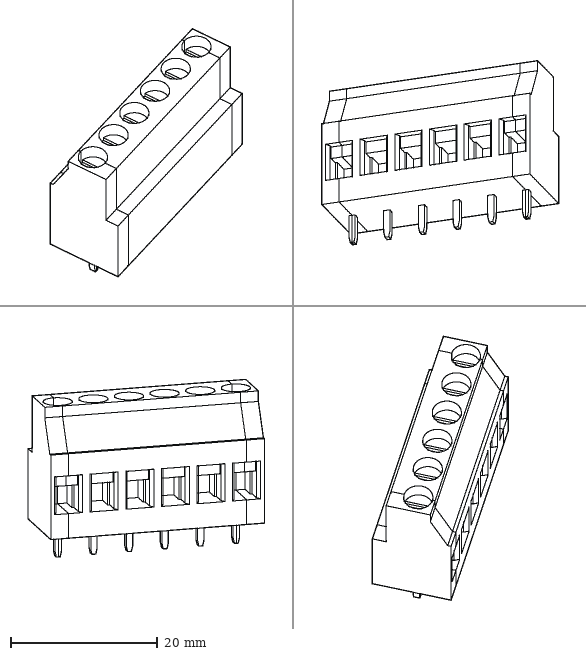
import cadquery as cq


positions = 6
row_length = 30.48
pitch = row_length / positions
terminal_centres = [(i - (positions - 1) / 2) * pitch for i in range(positions)]
joint_y = terminal_centres[-1]

housing_depth = 11.2
housing_height = 18.0
front_height = 12.0
front_ledge = 0.5
slope_top_x = 2.95
top_face_height = 1.5
rear_step_depth = 1.98
rear_step_height = 10.0

screw_x = 5.33
screw_diameter = 4.0
screw_recess = 2.0
slot_width = 0.8
slot_depth = 0.5

entry_bottom = 3.5
entry_top = 8.87
mouth_width = 4.0
mouth_depth = 0.7
passage_width = 3.2
lip_x = 1.2
lip_bottom = 7.15
clamp_x = 2.8
clamp_width = 2.62
clamp_end_x = screw_x

pin_x = 5.5
pin_thickness = 0.9
pin_width = 0.9
pin_length = 4.0
pin_tip_width = 0.55
pin_tip_length = 0.8


def housing_blank():
    """Stepped profile with a sloping front, extruded along the whole row."""
    step_x = housing_depth - rear_step_depth
    profile = [
        (0, 0),
        (housing_depth, 0),
        (housing_depth, rear_step_height),
        (step_x, rear_step_height),
        (step_x, housing_height),
        (slope_top_x, housing_height),
        (slope_top_x, housing_height - top_face_height),
        (front_ledge, front_height),
        (0, front_height),
    ]
    return cq.Workplane("XZ").polyline(profile).close().extrude(row_length / 2, both=True)


def screw_well(y):
    """Round well down to the screw head, plus the slot across the head."""
    head_z = housing_height - screw_recess
    slot_z = head_z - slot_depth
    well = cq.Workplane("XY", origin=(screw_x, y, head_z)).circle(screw_diameter / 2).extrude(screw_recess)
    disc = cq.Workplane("XY", origin=(screw_x, y, slot_z)).circle(screw_diameter / 2).extrude(slot_depth)
    bar = cq.Workplane("XY", origin=(screw_x, y, slot_z)).rect(screw_diameter, slot_width).extrude(slot_depth)
    return well.union(disc.intersect(bar))


def entry_chamber(y, end_x, width):
    """Box from the mouth to end_x, as high as the underside of the lip."""
    return cq.Workplane("XY", origin=(mouth_depth, y, entry_bottom)).box(
        end_x - mouth_depth, width, lip_bottom - entry_bottom, centered=(False, True, False)
    )


def wire_entry(y):
    """Tapered mouth and passage, stepping under a lip and into the narrow clamp chamber."""
    mouth_outline = [
        (0, -mouth_width / 2),
        (mouth_depth, -passage_width / 2),
        (lip_x, -passage_width / 2),
        (lip_x, passage_width / 2),
        (mouth_depth, passage_width / 2),
        (0, mouth_width / 2),
    ]
    mouth = cq.Workplane("XY", origin=(0, y, entry_bottom)).polyline(mouth_outline).close()
    mouth = mouth.extrude(entry_top - entry_bottom)
    passage = entry_chamber(y, clamp_x, passage_width)
    clamp = entry_chamber(y, clamp_end_x, clamp_width)
    return mouth.union(passage).union(clamp)


def solder_pin(y):
    """Flat pin below the seating plane with a tip that narrows along Y."""
    taper_z = pin_tip_length - pin_length
    outline = [
        (-pin_width / 2, 0),
        (-pin_width / 2, taper_z),
        (-pin_tip_width / 2, -pin_length),
        (pin_tip_width / 2, -pin_length),
        (pin_width / 2, taper_z),
        (pin_width / 2, 0),
    ]
    pin = cq.Workplane("YZ", origin=(pin_x, y, 0)).polyline(outline).close()
    return pin.extrude(pin_thickness / 2, both=True)


def terminal_row():
    """The complete row, before it is parted into its sections."""
    row = housing_blank()
    for y in terminal_centres:
        row = row.cut(screw_well(y)).cut(wire_entry(y)).union(solder_pin(y))
    return row


def section(row, y_start, y_end):
    """The part of the row between two planes of constant Y, which split the wells along their axes."""
    slab = cq.Workplane("XY", origin=(0, y_start, -pin_length)).box(
        housing_depth, y_end - y_start, housing_height + pin_length, centered=False
    )
    return row.intersect(slab, clean=False)


row = terminal_row()
middle_section = section(row, -joint_y, joint_y)
cap_spans = [(-row_length / 2, -joint_y), (joint_y, row_length / 2)]
end_caps = [section(row, y_start, y_end) for y_start, y_end in cap_spans]

result = cq.Compound.makeCompound([middle_section.val(), *[cap.val() for cap in end_caps]])